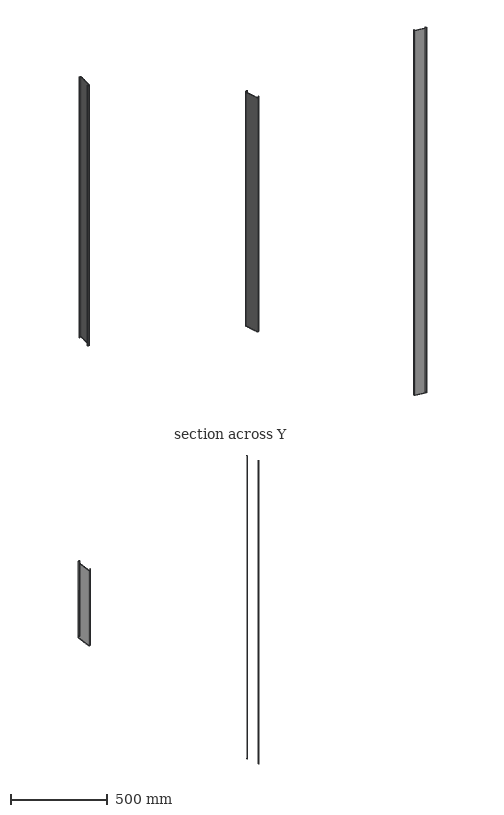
import cadquery as cq

width = 76.5
depth = 12.16
length = 2000.0
sheet_thickness = 1.5
lip_width = 4.5
inner_bend_radius = 1.0
outer_bend_radius = inner_bend_radius + sheet_thickness


def rounded_bar(size_x, size_y, corner_radius):
    """Full-length rectangular bar centred on the origin, with its long edges rounded."""
    return cq.Workplane("XY").box(size_x, size_y, length).edges("|Z").fillet(corner_radius)


def make_tube():
    """Closed sheet-metal box section with bent corners."""
    outside = rounded_bar(width, depth, outer_bend_radius)
    inside = rounded_bar(
        width - 2 * sheet_thickness,
        depth - 2 * sheet_thickness,
        inner_bend_radius,
    )
    return outside.cut(inside)


def make_mouth():
    """Block that opens the -Y wall between the two lips."""
    mouth_width = width - 2 * lip_width
    return cq.Workplane("XY").box(mouth_width, depth / 2, length).translate((0, -depth / 2, 0))


result = make_tube().cut(make_mouth())